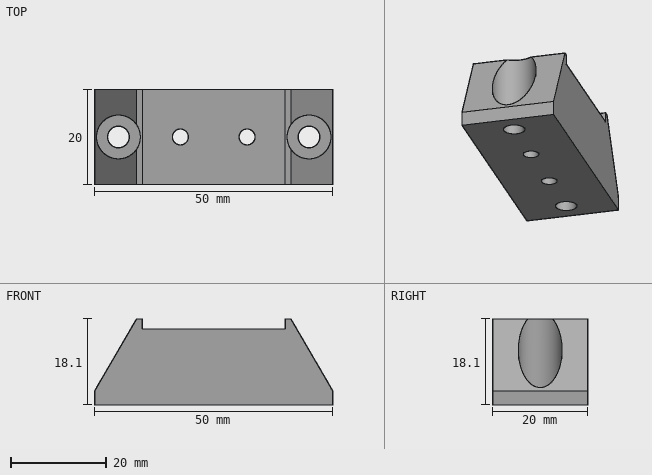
import cadquery as cq

length = 50.0
width = 20.0
height = 18.1
end_height = 3.0

tray_length = 30.0
tray_floor = 16.0
lip_thickness = 1.2

mount_spacing = 40.0
mount_diameter = 4.5
counterbore_diameter = 9.2
counterbore_floor = 3.0

tray_hole_spacing = 14.0
tray_hole_diameter = 3.3


def make_body():
    """Extrude the symmetric sloped profile, tray included, across the width."""
    half_length = length / 2
    half_tray = tray_length / 2
    half_top = half_tray + lip_thickness
    return (
        cq.Workplane("XZ")
        .moveTo(0, 0)
        .lineTo(half_length, 0)
        .lineTo(half_length, end_height)
        .lineTo(half_top, height)
        .lineTo(half_tray, height)
        .lineTo(half_tray, tray_floor)
        .lineTo(0, tray_floor)
        .mirrorY()
        .extrude(width / 2, both=True)
    )


def make_hole_pair(spacing, diameter, floor):
    """Two upright cylinders along X, from the floor up to the top of the block."""
    return (
        cq.Workplane("XY", origin=(0, 0, floor))
        .pushPoints([(-spacing / 2, 0), (spacing / 2, 0)])
        .circle(diameter / 2)
        .extrude(height - floor)
    )


result = (
    make_body()
    .cut(make_hole_pair(mount_spacing, mount_diameter, 0))
    .cut(make_hole_pair(mount_spacing, counterbore_diameter, counterbore_floor))
    .cut(make_hole_pair(tray_hole_spacing, tray_hole_diameter, 0))
)